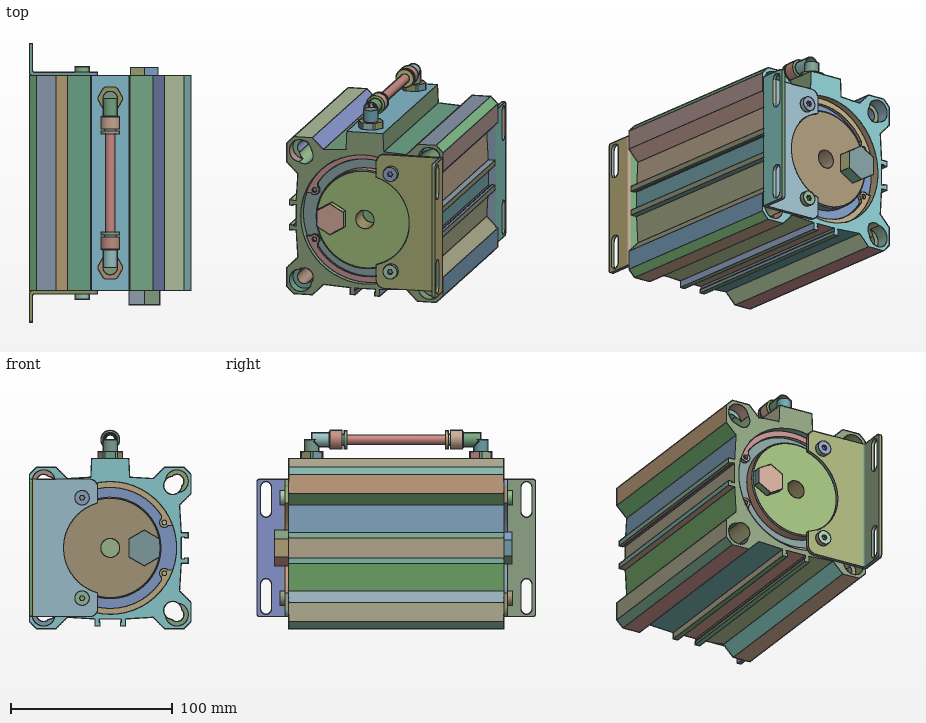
import cadquery as cq
import math

body_width = 100.0
body_length = 133.2
half_width = body_width / 2
face_y = -body_length / 2

lobe_inner = 33.6
lobe_outer = 45.5
web_depth = 43.0
web_edge = lobe_inner - (half_width - web_depth)
rib_outer = 9.5
rib_inner = 6.7
lip_inner = 6.2
floor_height = 44.0
lip_start = 45.9
rib_tip = 48.3
root_overlap = 1.7

pad_half_base = 12.0
pad_half_top = 11.5
pad_top = 55.4

bore_offset = 41.2
counterbore_diameter = 14.1
counterbore_depth = 9.0
bolt_hole_diameter = 8.5
relief_offset = 38.6
relief_diameter = 11.0

recess_diameter = 82.1
recess_depth = 6.7
disc_diameter = 62.8
disc_chamfer = 0.7
disc_hole_diameter = 11.7
disc_hole_depth = 17.2
ring_inner_diameter = 74.9
ring_face_depth = 4.5
ring_gap_half = 13.8
lug_x = 33.5
lug_z = 15.7
lug_neck_x = 31.5
lug_diameter = 6.0
lug_hole_diameter = 3.0

hex_x = 21.0
front_hex_flats = 19.1
front_hex_height = 8.8
rear_hex_flats = 17.0
rear_hex_height = 5.0

overall_length = 172.5
plate = 2.0
bracket_height = 85.0
bracket_edge_x = -7.8
bracket_corner_radius = 5.0
bracket_cutout_diameter = 57.8
bend_inner_radius = 0.9
bend_outer_radius = 1.5
flange_corner_radius = 1.7
slot_y = 80.5
slot_z = 30.0
slot_length = 21.9
slot_width = 6.5

screw_x = -17.5
screw_z = 31.0
screw_diameter = 9.0
screw_height = 3.3
socket_flats = 3.0
socket_depth = 1.7

line_top = 72.8
collar_diameter = 11.7
line_z = line_top - collar_diameter / 2
elbow_y = 52.3
nut_flats = 14.0
nut_corner_diameter = 15.4
nut_height = 4.1
elbow_diameter = 9.0
elbow_bore_diameter = 8.5
collar_start = 41.5
collar_end = 33.5
collar_chamfer = 0.7
fitting_bore_diameter = 7.0
fitting_bore_end = 35.2
neck_diameter = 7.0
flange_start = 32.3
flange_end = 30.4
flange_diameter = 11.4
tube_diameter = 6.0
tube_bore_diameter = 5.7


def corners_of(flats):
    """Circumscribed diameter of a hexagon with the given distance across flats."""
    return flats / math.cos(math.radians(30))


def end_plane(depth=0.0):
    """Plane parallel to the front face, at a depth inside it; its normal points to -Y."""
    return cq.Workplane("XZ", origin=(0, face_y + depth, 0))


def both_ends(shape):
    """A front-end feature together with its mirror image at the rear end."""
    return [shape, shape.mirror("XZ")]


def housing_section():
    side = [
        (-lobe_outer, half_width),
        (-lobe_inner, half_width),
        (-web_edge, web_depth),
        (-rib_outer, floor_height),
        (rib_outer, floor_height),
        (web_edge, web_depth),
        (lobe_inner, half_width),
        (lobe_outer, half_width),
    ]
    arc_middle = math.hypot(lobe_outer, half_width) * math.sqrt(0.5)
    middle = (arc_middle, arc_middle)
    section = end_plane().moveTo(*side[0])
    for _ in range(4):
        for point in side[1:]:
            section = section.lineTo(*point)
        side = [(z, -x) for x, z in side]
        section = section.threePointArc(middle, side[0])
        middle = (middle[1], -middle[0])
    return section.close().extrude(-body_length)


def slot_rib():
    """Lipped rib on the underside, at positive X."""
    root = floor_height - root_overlap
    return (
        end_plane()
        .polyline([
            (rib_outer, -root),
            (rib_outer, -rib_tip),
            (lip_inner, -rib_tip),
            (lip_inner, -lip_start),
            (rib_inner, -lip_start),
            (rib_inner, -root),
        ])
        .close()
        .extrude(-body_length)
    )


def port_pad():
    slope = (pad_half_base - pad_half_top) / (pad_top - floor_height)
    root = floor_height - root_overlap
    root_half = pad_half_base + slope * root_overlap
    return (
        end_plane()
        .polyline([
            (-root_half, root),
            (-pad_half_top, pad_top),
            (pad_half_top, pad_top),
            (root_half, root),
        ])
        .close()
        .extrude(-body_length)
    )


def corner_holes(offset, diameter, depth):
    centres = [(x, z) for x in (-offset, offset) for z in (-offset, offset)]
    return end_plane().pushPoints(centres).circle(diameter / 2).extrude(-depth)


def end_recess():
    """Annular recess around the cover disc, plus the hole in the middle of the disc."""
    annulus = end_plane().circle(recess_diameter / 2).extrude(-recess_depth)
    disc = (
        end_plane()
        .circle(disc_diameter / 2)
        .extrude(-recess_depth)
        .faces("<Y")
        .chamfer(disc_chamfer)
    )
    hole = end_plane().circle(disc_hole_diameter / 2).extrude(-disc_hole_depth)
    return annulus.cut(disc).union(hole)


def retaining_ring():
    """Open ring with two eyes, seated on the recess floor, the gap facing +X."""
    thickness = recess_depth - ring_face_depth
    ring_radius = ring_inner_diameter / 2
    neck_top = math.sqrt(ring_radius**2 - lug_neck_x**2)
    ring = end_plane(ring_face_depth).circle(recess_diameter / 2).circle(ring_radius).extrude(-thickness)
    gap = end_plane(ring_face_depth).center(recess_diameter / 2, 0).rect(recess_diameter, 2 * ring_gap_half)
    ring = ring.cut(gap.extrude(-thickness))
    for side in (1, -1):
        lug = end_plane(ring_face_depth).center(lug_x, side * lug_z)
        neck = end_plane(ring_face_depth).polyline([
            (lug_neck_x, side * lug_z),
            (lug_neck_x, side * neck_top),
            (ring_radius, side * lug_z),
        ])
        ring = ring.union(neck.close().extrude(-thickness))
        ring = ring.union(lug.circle(lug_diameter / 2).extrude(-thickness))
        ring = ring.cut(lug.circle(lug_hole_diameter / 2).extrude(-thickness))
    return ring


def hex_head(flats, height):
    return (
        end_plane()
        .center(hex_x, 0)
        .transformed(rotate=(0, 0, 30))
        .polygon(6, corners_of(flats))
        .extrude(height)
    )


def bracket():
    angle = (
        cq.Workplane("XY", origin=(0, 0, -bracket_height / 2))
        .polyline([
            (-half_width, -overall_length / 2),
            (-half_width, face_y),
            (bracket_edge_x, face_y),
            (bracket_edge_x, face_y - plate),
            (-half_width + plate, face_y - plate),
            (-half_width + plate, -overall_length / 2),
        ])
        .close()
        .extrude(bracket_height)
    )
    inner_bend = cq.selectors.NearestToPointSelector((-half_width + plate, face_y - plate, 0))
    outer_bend = cq.selectors.NearestToPointSelector((-half_width, face_y, 0))
    angle = angle.edges(inner_bend).fillet(bend_inner_radius)
    angle = angle.edges(outer_bend).fillet(bend_outer_radius)
    angle = angle.edges("|Y and >X").fillet(bracket_corner_radius)
    angle = angle.edges("|X and <Y").fillet(flange_corner_radius)
    cutout = end_plane().circle(bracket_cutout_diameter / 2).extrude(plate)
    slots = (
        cq.Workplane("YZ", origin=(-half_width, 0, 0))
        .pushPoints([(-slot_y, slot_z), (-slot_y, -slot_z)])
        .slot2D(slot_length, slot_width, 90)
        .extrude(plate)
    )
    return angle.cut(cutout).cut(slots)


def bracket_screws():
    centres = [(screw_x, screw_z), (screw_x, -screw_z)]
    heads = end_plane().pushPoints(centres).circle(screw_diameter / 2).extrude(plate + screw_height)
    sockets = (
        end_plane(-plate - screw_height)
        .pushPoints(centres)
        .polygon(6, corners_of(socket_flats))
        .extrude(-socket_depth)
    )
    return heads.cut(sockets)


def make_housing():
    housing = housing_section().union(port_pad())
    for turn in (0, 90, -90):
        rib = slot_rib()
        for half in (rib, rib.mirror("YZ")):
            housing = housing.union(half.rotate((0, 0, 0), (0, 1, 0), turn))
    housing = housing.cut(corner_holes(bore_offset, bolt_hole_diameter, body_length))
    housing = housing.cut(corner_holes(relief_offset, relief_diameter, body_length))
    for cutter in both_ends(corner_holes(bore_offset, counterbore_diameter, counterbore_depth)):
        housing = housing.cut(cutter)
    for cutter in both_ends(end_recess()):
        housing = housing.cut(cutter)
    for feature in (retaining_ring(), bracket(), bracket_screws()):
        for part in both_ends(feature):
            housing = housing.union(part)
    housing = housing.union(hex_head(front_hex_flats, front_hex_height))
    return housing.union(hex_head(rear_hex_flats, rear_hex_height).mirror("XZ"))


def line_rod(diameter, start, end):
    """Cylinder on the line axis, between two distances in front of the middle."""
    return cq.Workplane("XZ", origin=(0, -end, line_z)).circle(diameter / 2).extrude(start - end)


def fitting():
    """Front elbow with its hexagon foot, collar and release flange."""
    foot = cq.Workplane("XY", origin=(0, -elbow_y, pad_top))
    nut = foot.polygon(6, corners_of(nut_flats)).extrude(nut_height)
    nut = nut.intersect(foot.circle(nut_corner_diameter / 2).extrude(nut_height))
    riser = foot.circle(elbow_diameter / 2).extrude(line_z - pad_top)
    chamfer_rise = (collar_diameter - elbow_diameter) / 2
    collar = line_rod(collar_diameter, collar_start, collar_end)
    back_rim = collar.faces("<Y").edges()
    collar = back_rim.chamfer(collar_chamfer, chamfer_rise)
    branch = (
        line_rod(elbow_diameter, elbow_y, collar_start)
        .cut(line_rod(elbow_bore_diameter, elbow_y, collar_start))
        .union(collar.cut(line_rod(fitting_bore_diameter, collar_start, fitting_bore_end)))
        .union(line_rod(neck_diameter, collar_end, flange_start))
        .union(line_rod(flange_diameter, flange_start, flange_end))
    )
    return branch, nut.union(riser)


def make_air_line():
    branch, foot = fitting()
    tube = line_rod(tube_diameter, flange_end, -flange_end)
    line = tube.union(branch).union(branch.mirror("XZ"))
    line = line.cut(line_rod(tube_bore_diameter, elbow_y, -elbow_y))
    return line.union(foot).union(foot.mirror("XZ"))


housing = make_housing()
air_line = make_air_line()
result = cq.Compound.makeCompound([housing.solids().val(), air_line.solids().val()])